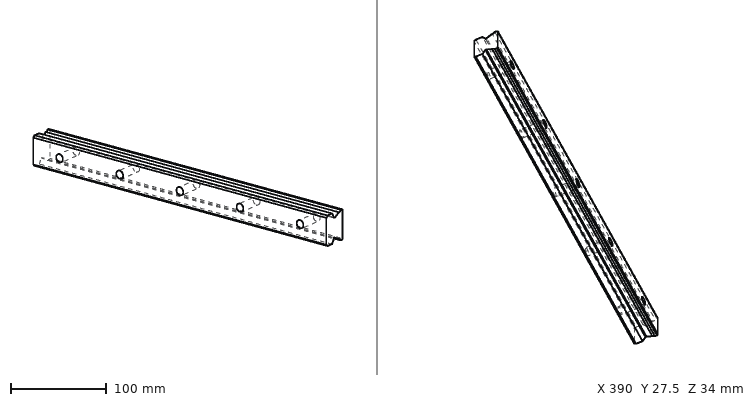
import cadquery as cq
import math

rail_length = 390.0
rail_height = 27.5
rail_width = 34.0
base_chamfer = 2.1
head_chamfer = 1.2

ball_track_radius = 2.5
track_start = 10.2
track_end = 7.3
track_depth = 1.9
flank_angle = 30.0
floor_start = 0.6
base_land_edge = -4.0

hole_diameter = 9.0
hole_count = 5
hole_pitch = 80.0

flank_slope = math.tan(math.radians(flank_angle))
groove_depth = track_depth + (track_end - floor_start) * flank_slope
floor_end = base_land_edge + groove_depth * flank_slope


def track_middle():
    """Middle of the ball track arc as (Y, depth), sunk into the rail from its chord."""
    y_step = track_end - track_start
    chord = math.hypot(y_step, track_depth)
    sagitta = ball_track_radius - math.sqrt(ball_track_radius**2 - (chord / 2) ** 2)
    middle_y = (track_start + track_end) / 2 + sagitta * track_depth / chord
    middle_depth = track_depth / 2 - sagitta * y_step / chord
    return middle_y, middle_depth


def at(y, depth):
    """Section point at a depth below the +Z side face."""
    return y, rail_width / 2 - depth


def half_rail():
    """Half of the rail above the XY plane, with its side groove."""
    head = rail_height / 2
    return (
        cq.Workplane("YZ")
        .moveTo(head, 0)
        .lineTo(*at(head, head_chamfer))
        .lineTo(*at(head - head_chamfer, 0))
        .lineTo(*at(track_start, 0))
        .threePointArc(at(*track_middle()), at(track_end, track_depth))
        .lineTo(*at(floor_start, groove_depth))
        .lineTo(*at(floor_end, groove_depth))
        .lineTo(*at(base_land_edge, 0))
        .lineTo(*at(base_chamfer - head, 0))
        .lineTo(*at(-head, base_chamfer))
        .lineTo(-head, 0)
        .close()
        .extrude(rail_length / 2, both=True)
    )


def rail_body():
    half = half_rail()
    return half.union(half.mirror("XY")).clean()


def mounting_holes():
    return (
        cq.Workplane("XZ")
        .rarray(hole_pitch, 1, hole_count, 1)
        .circle(hole_diameter / 2)
        .extrude(rail_height, both=True)
    )


result = rail_body().cut(mounting_holes())